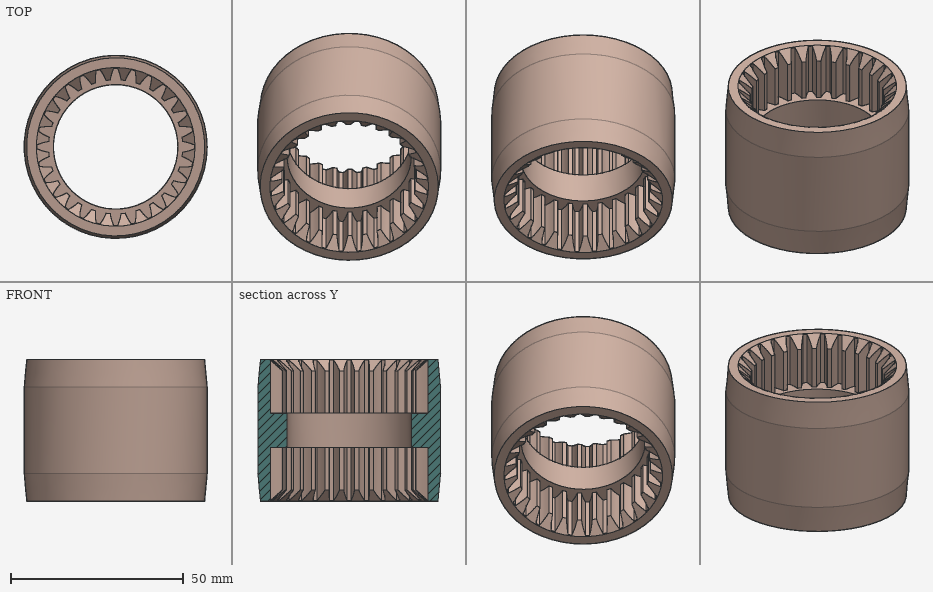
import cadquery as cq

outer_diameter = 53.0
sleeve_height = 41.0
end_diameter = 51.5
taper_height = 8.0

land_diameter = 35.95
land_height = 10.0
mouth_radius = 22.95
socket_depth = (sleeve_height - land_height) / 2

tooth_count = 28
tip_radius = 19.4
middle_radius = 21.05
root_radius = 22.75
space_half_width_at_tip = 1.565
space_half_width_at_middle = 1.19
space_half_width_at_root = 0.6

lead_in_depth = 3.3


def make_body():
    """Tapered sleeve as a revolved half section, standing on Z = 0."""
    outer_radius = outer_diameter / 2
    end_radius = end_diameter / 2
    land_radius = land_diameter / 2
    return (
        cq.Workplane("XZ")
        .moveTo(land_radius, 0)
        .lineTo(end_radius, 0)
        .lineTo(outer_radius, taper_height)
        .lineTo(outer_radius, sleeve_height - taper_height)
        .lineTo(end_radius, sleeve_height)
        .lineTo(land_radius, sleeve_height)
        .close()
        .revolve(360, (0, 0, 0), (0, 1, 0))
    )


def make_tooth_space():
    """Prism between two teeth, with curved flanks, centred on the +X axis."""
    inner_x = tip_radius - space_half_width_at_tip
    return (
        cq.Workplane("XY")
        .moveTo(inner_x, -space_half_width_at_tip)
        .lineTo(tip_radius, -space_half_width_at_tip)
        .threePointArc(
            (middle_radius, -space_half_width_at_middle),
            (root_radius, -space_half_width_at_root),
        )
        .lineTo(root_radius, space_half_width_at_root)
        .threePointArc(
            (middle_radius, space_half_width_at_middle),
            (tip_radius, space_half_width_at_tip),
        )
        .lineTo(inner_x, space_half_width_at_tip)
        .close()
        .extrude(socket_depth)
    )


def make_socket():
    """Volume removed from the lower end: tip opening, tooth spaces and lead-in cone."""
    socket = cq.Workplane("XY").circle(tip_radius).extrude(socket_depth)
    space = make_tooth_space()
    for index in range(tooth_count):
        socket = socket.union(space.rotate((0, 0, 0), (0, 0, 1), index * 360 / tooth_count))
    lead_in = cq.Workplane(
        cq.Solid.makeCone(mouth_radius, tip_radius, lead_in_depth)
    )
    return socket.union(lead_in)


lower_socket = make_socket()
middle_height = sleeve_height / 2
upper_socket = lower_socket.mirror("XY", (0, 0, middle_height))

result = make_body().cut(lower_socket).cut(upper_socket)